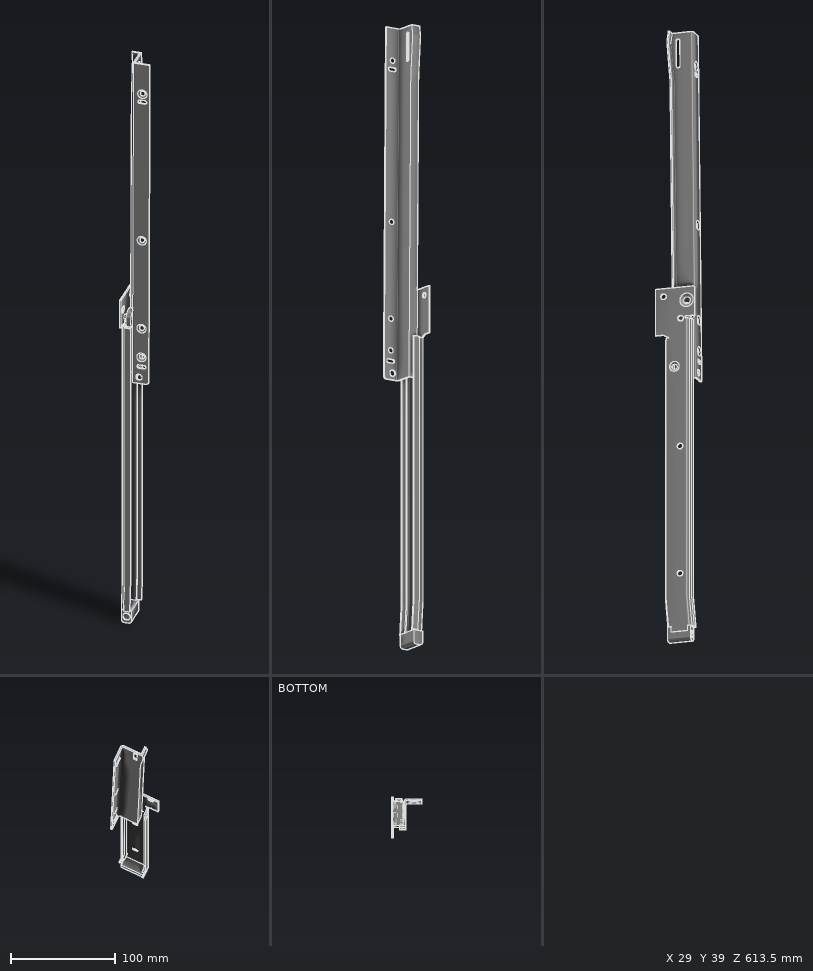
import cadquery as cq
import math


SHEET = 1.55

RAIL_LOW_Y = 6.0
RAIL_HIGH_Y = 29.5
LIP_STEP = 2.15
LOW_LIP_X = (3.5, 10.0)
HIGH_LIP_X = (7.5, 13.5)
RAIL_BEND_RADIUS = 3.4
NOSE_TOP_Z = 43.0
NOSE_BOTTOM_Z = 14.0
NOSE_SHIFT_Y = 2.5
NOSE_WEB_BOTTOM_Z = 8.5
LOW_WALL_TOP_Z = 322.5
HIGH_WALL_TOP_Z = 304.0
END_BLOCK_X = (0.5, 11.0)
END_BLOCK_Y = (4.0, 27.5)
END_BLOCK_FILLET = 3.0
END_RECESS_RADIUS = 3.5
END_RECESS_DEPTH = 1.0
END_RECESS_Z = 7.0

PLATE_WIDTH = 39.0
PLATE_TOP_Z = 354.0
PLATE_LOW_CORNER_Z = 324.5
PLATE_HIGH_CORNER_Z = 307.0
PLATE_CORNER_RADIUS = 2.0
PLATE_HOLES = ((31.0, 346.0), (14.0, 322.5))
WEB_HOLES = ((15.0, 194.5), (15.0, 67.0))
DRAWER_HOLE_RADIUS = 2.75
DRAWER_DISHES = ((8.0, 340.5, 7.0), (20.0, 275.0, 5.0))

LEAN_ANGLE = 0.6
CABINET_BOTTOM_Z = 265.5
CABINET_TOP_Z = 613.5
CABINET_FRONT_Y = 2.0
CABINET_WIDTH = 21.15
TRACK_EDGE_X = 4.0
CABINET_WEB_X = 11.95
FLANGE_END_X = 29.0
CABINET_BEND_RADIUS = 2.5
TRACK_BEND_RADIUS = 1.0
FLANGE_CORNER = 2.0
DETENT_START_Z = 563.0
DETENT_PEAK_Z = 603.0
DETENT_DEPTH = 2.75
DETENT_END_DEPTH = 1.0
SCREW_X = 21.5
SCREW_HOLES_Z = (581.0, 421.5, 325.5, 294.5)
SCREW_HOLE_RADIUS = 2.5
SCREW_RIM_RADIUS = 4.6
SLOTS_Z = (572.0, 284.0)
SLOT_LENGTH = 8.5
SLOT_HEIGHT = 3.5
LOWER_HOLE_X = 19.0
LOWER_HOLE_Z = 272.5
LOWER_HOLE_RADIUS = 3.0
WEB_SLOT_Y = 17.0
WEB_SLOT_BOTTOM_Z = 578.5
WEB_SLOT_TOP_Z = 607.0
WEB_SLOT_WIDTH = 3.5

ROLLER_Y = 12.0
ROLLER_Z = 330.5
ROLLER_RADIUS = 9.0
ROLLER_START_X = 5.5
ROLLER_END_X = 10.5
HUB_RADIUS = 2.5


def box(x_range, y_range, z_range):
    """Box between two limits along each axis."""
    sizes = [high - low for low, high in (x_range, y_range, z_range)]
    return cq.Workplane().box(*sizes, centered=False).translate((x_range[0], y_range[0], z_range[0]))


def x_cylinder(y, z, radius, start_x, end_x):
    """Cylinder along X."""
    return cq.Workplane("YZ", origin=(start_x, y, z)).circle(radius).extrude(end_x - start_x)



def rail_half(wall_y, outward, lip_x):
    """Half of the channel section: half web, bend, wall and joggled lip."""
    middle_y = (RAIL_LOW_Y + RAIL_HIGH_Y) / 2
    inner_radius = RAIL_BEND_RADIUS - SHEET
    diagonal = math.sqrt(0.5)
    bend_y = wall_y - outward * RAIL_BEND_RADIUS
    inner_y = wall_y - outward * SHEET
    outer_mid = (RAIL_BEND_RADIUS * (1 - diagonal), bend_y + outward * RAIL_BEND_RADIUS * diagonal)
    inner_mid = (RAIL_BEND_RADIUS - inner_radius * diagonal, bend_y + outward * inner_radius * diagonal)
    step = outward * LIP_STEP
    joggle_x, edge_x = lip_x
    return (
        cq.Workplane("XY")
        .moveTo(0, middle_y)
        .lineTo(0, bend_y)
        .threePointArc(outer_mid, (RAIL_BEND_RADIUS, wall_y))
        .lineTo(joggle_x, wall_y)
        .lineTo(joggle_x, wall_y + step)
        .lineTo(edge_x, wall_y + step)
        .lineTo(edge_x, inner_y + step)
        .lineTo(joggle_x + SHEET, inner_y + step)
        .lineTo(joggle_x + SHEET, inner_y)
        .lineTo(RAIL_BEND_RADIUS, inner_y)
        .threePointArc(inner_mid, (SHEET, bend_y))
        .lineTo(SHEET, middle_y)
        .close()
    )


def channel_half(wall_y, outward, lip_x, top_z):
    """Half channel: a straight length above a slanted nose."""
    section = rail_half(wall_y, outward, lip_x)
    straight = section.extrude(top_z - NOSE_TOP_Z).translate((0, 0, NOSE_TOP_Z))
    face = cq.Face.makeFromWires(section.wires().val())
    slant = cq.Vector(0, -NOSE_SHIFT_Y, NOSE_BOTTOM_Z - NOSE_TOP_Z)
    nose = cq.Solid.extrudeLinear(face.translate(cq.Vector(0, 0, NOSE_TOP_Z)), slant)
    return straight.union(cq.Workplane(obj=nose))


def nose_end():
    """Web tongue below the channel, backed by a rounded block with a round recess."""
    tongue = box(
        (0, SHEET),
        (RAIL_LOW_Y + RAIL_BEND_RADIUS - NOSE_SHIFT_Y, RAIL_HIGH_Y - RAIL_BEND_RADIUS - NOSE_SHIFT_Y),
        (NOSE_WEB_BOTTOM_Z, NOSE_BOTTOM_Z),
    )
    block = box(END_BLOCK_X, END_BLOCK_Y, (0, NOSE_BOTTOM_Z)).edges("|Y and <Z").fillet(END_BLOCK_FILLET)
    middle_x = sum(END_BLOCK_X) / 2
    recess = (
        cq.Workplane("XZ", origin=(middle_x, END_BLOCK_Y[0], END_RECESS_Z))
        .circle(END_RECESS_RADIUS)
        .extrude(-END_RECESS_DEPTH)
    )
    return tongue.union(block.cut(recess))


def mounting_plate():
    """Flat plate that widens the web at the upper end."""
    high_bend_y = RAIL_HIGH_Y - RAIL_BEND_RADIUS
    low_bend_y = RAIL_LOW_Y + RAIL_BEND_RADIUS
    outline = (
        (0, PLATE_TOP_Z),
        (PLATE_WIDTH, PLATE_TOP_Z),
        (PLATE_WIDTH, PLATE_HIGH_CORNER_Z),
        (RAIL_HIGH_Y + LIP_STEP, PLATE_HIGH_CORNER_Z),
        (high_bend_y, HIGH_WALL_TOP_Z),
        (high_bend_y, HIGH_WALL_TOP_Z - RAIL_BEND_RADIUS),
        (low_bend_y, HIGH_WALL_TOP_Z - RAIL_BEND_RADIUS),
        (low_bend_y, PLATE_LOW_CORNER_Z),
        (0, PLATE_LOW_CORNER_Z),
    )
    plate = cq.Workplane("YZ").polyline(outline).close().extrude(SHEET)
    return plate.edges("|X and <Y and >Z").fillet(PLATE_CORNER_RADIUS)


def dish(y, z, rim_radius):
    """Countersunk hole through the web: the cone narrows to half its rim radius."""
    cone = cq.Solid.makeCone(rim_radius, rim_radius / 2, SHEET, cq.Vector(0, y, z), cq.Vector(1, 0, 0))
    return cq.Workplane(obj=cone)


def make_drawer_rail():
    rail = channel_half(RAIL_LOW_Y, -1, LOW_LIP_X, LOW_WALL_TOP_Z)
    rail = rail.union(channel_half(RAIL_HIGH_Y, 1, HIGH_LIP_X, HIGH_WALL_TOP_Z))
    rail = rail.union(mounting_plate()).union(nose_end())
    for y, z in PLATE_HOLES + WEB_HOLES:
        rail = rail.cut(x_cylinder(y, z, DRAWER_HOLE_RADIUS, 0, SHEET))
    for y, z, rim_radius in DRAWER_DISHES:
        rail = rail.cut(dish(y, z, rim_radius))
    return rail



def cabinet_sheet():
    """Web, screw flange and flared roller track, bent from one sheet."""
    back_y = CABINET_FRONT_Y + CABINET_WIDTH
    back_line = (
        (back_y, CABINET_BOTTOM_Z),
        (back_y, DETENT_START_Z),
        (back_y + DETENT_DEPTH, DETENT_PEAK_Z),
        (back_y + DETENT_END_DEPTH, CABINET_TOP_Z),
    )
    inner_line = [(y - SHEET, z) for y, z in reversed(back_line)]
    web_outline = ((CABINET_FRONT_Y, CABINET_TOP_Z), (CABINET_FRONT_Y, CABINET_BOTTOM_Z)) + back_line
    web_end_x = CABINET_WEB_X + SHEET
    web = cq.Workplane("YZ", origin=(CABINET_WEB_X, 0, 0)).polyline(web_outline).close().extrude(SHEET)
    track = (
        cq.Workplane("YZ", origin=(TRACK_EDGE_X, 0, 0))
        .polyline(list(back_line) + inner_line)
        .close()
        .extrude(web_end_x - TRACK_EDGE_X)
    )
    flange = box(
        (CABINET_WEB_X, FLANGE_END_X),
        (CABINET_FRONT_Y, CABINET_FRONT_Y + SHEET),
        (CABINET_BOTTOM_Z, CABINET_TOP_Z),
    ).edges("|Y and >X and <Z").chamfer(FLANGE_CORNER)
    sheet = web.union(track).union(flange)
    middle_z = (CABINET_BOTTOM_Z + CABINET_TOP_Z) / 2
    track_middle_z = (CABINET_BOTTOM_Z + DETENT_START_Z) / 2
    nearest_to = cq.selectors.NearestToPointSelector
    inner_bend = nearest_to((web_end_x, CABINET_FRONT_Y + SHEET, middle_z))
    outer_bend = nearest_to((CABINET_WEB_X, CABINET_FRONT_Y, middle_z))
    track_bend = nearest_to((CABINET_WEB_X, back_y - SHEET, track_middle_z))
    sheet = sheet.edges(inner_bend).fillet(CABINET_BEND_RADIUS - SHEET)
    sheet = sheet.edges(outer_bend).fillet(CABINET_BEND_RADIUS)
    return sheet.edges(track_bend).fillet(TRACK_BEND_RADIUS)


def flange_plane(x, z):
    """Workplane on the outer face of the screw flange, facing into the sheet."""
    return cq.Workplane(cq.Plane((x, CABINET_FRONT_Y, z), (1, 0, 0), (0, 1, 0)))


def screw_hole(z):
    """Countersunk screw hole through the screw flange."""
    cone = cq.Solid.makeCone(
        SCREW_RIM_RADIUS, SCREW_HOLE_RADIUS, SHEET, cq.Vector(SCREW_X, CABINET_FRONT_Y, z), cq.Vector(0, 1, 0)
    )
    return cq.Workplane(obj=cone)


def web_slot():
    """Long vertical slot near the top of the web."""
    middle_z = (WEB_SLOT_BOTTOM_Z + WEB_SLOT_TOP_Z) / 2
    return (
        cq.Workplane("YZ", origin=(CABINET_WEB_X, WEB_SLOT_Y, middle_z))
        .slot2D(WEB_SLOT_TOP_Z - WEB_SLOT_BOTTOM_Z, WEB_SLOT_WIDTH, 90)
        .extrude(SHEET)
    )


def make_cabinet_rail():
    rail = cabinet_sheet().cut(web_slot())
    for z in SCREW_HOLES_Z:
        rail = rail.cut(screw_hole(z))
    for z in SLOTS_Z:
        rail = rail.cut(flange_plane(SCREW_X, z).slot2D(SLOT_LENGTH, SLOT_HEIGHT).extrude(SHEET))
    rail = rail.cut(flange_plane(LOWER_HOLE_X, LOWER_HOLE_Z).circle(LOWER_HOLE_RADIUS).extrude(SHEET))
    pivot = (0, CABINET_FRONT_Y, CABINET_BOTTOM_Z)
    return rail.rotate(pivot, (1, CABINET_FRONT_Y, CABINET_BOTTOM_Z), -LEAN_ANGLE)



def make_roller():
    """Wheel with a short hub standing on the mounting plate."""
    wheel = x_cylinder(ROLLER_Y, ROLLER_Z, ROLLER_RADIUS, ROLLER_START_X, ROLLER_END_X)
    return wheel.union(x_cylinder(ROLLER_Y, ROLLER_Z, HUB_RADIUS, SHEET, ROLLER_START_X))


drawer_rail = make_drawer_rail()
cabinet_rail = make_cabinet_rail()
roller = make_roller()

result = cq.Compound.makeCompound(
    [drawer_rail.solids().val(), cabinet_rail.solids().val(), roller.solids().val()]
)